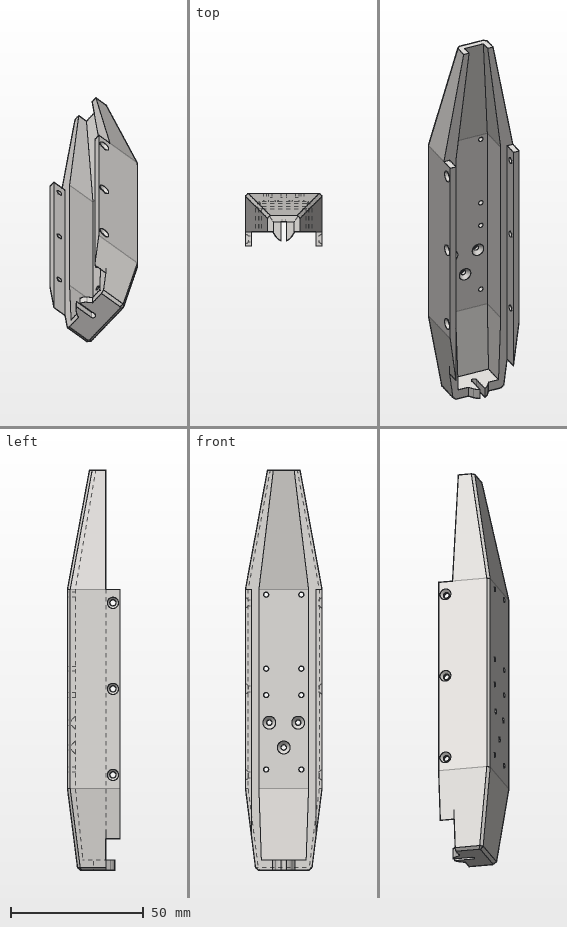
import cadquery as cq

length = 151.0
half_width = 14.5
depth = 20.0

lower_taper_z = 31.0
upper_taper_z = 106.0
front_y = 5.5
tip_half_width = 6.2
end_half_width = 10.5
side_taper_tip = half_width - tip_half_width
side_taper_end = half_width - end_half_width
edge_chamfer = 1.0

cavity_half_width = 9.4
cavity_tip_half_width = 4.0
cavity_end_half_width = 8.5
floor_y = 16.9
floor_thickness = depth - floor_y
floor_tip_y = 9.2
floor_end_y = 14.0
end_wall = 4.0

flange_thickness = 2.4
side_hole_y = 2.7
side_hole_pitch = 32.5
side_hole_diameter = 2.3
side_sink_diameter = 4.2
side_sink_depth = 1.2

pin_hole_diameter = 1.8
pin_hole_x = 6.6
pin_hole_heights = (38.0, 66.1, 76.1, 104.0)
screw_hole_diameter = 2.0
screw_sink_diameter = 4.8
screw_sink_depth = 1.5
screw_positions = ((-5.5, 55.7), (5.5, 55.7), (0, 46.4))

clip_half_width = 4.2
clip_shoulder_x = 3.0
clip_shoulder_y = 3.6
clip_nose_y = 2.0
slot_width = 2.0
slot_end_y = 10.1


def tapered_block(bottom_z, widths, backs):
    """Block tapering towards both ends from a straight middle, with its flat front at Y = 0.

    widths (half widths) and backs (back Y) each hold the bottom, middle and top value.
    """
    bottom_width, middle_width, top_width = widths
    bottom_back, middle_back, top_back = backs
    right_edge = [
        (bottom_width, bottom_z),
        (middle_width, lower_taper_z),
        (middle_width, upper_taper_z),
        (top_width, length),
    ]
    left_edge = [(-x, z) for x, z in reversed(right_edge)]
    outline = cq.Workplane("XZ").polyline(right_edge + left_edge).close().extrude(-depth)
    profile = (
        cq.Workplane("YZ")
        .polyline([
            (0, bottom_z),
            (bottom_back, bottom_z),
            (middle_back, lower_taper_z),
            (middle_back, upper_taper_z),
            (top_back, length),
            (0, length),
        ])
        .close()
        .extrude(half_width, both=True)
    )
    return outline.intersect(profile)


def is_back_corner(edge):
    """True for the long edges where the side faces meet the back."""
    return edge.BoundingBox().zlen > end_wall and edge.Center().y > front_y


def outer_body():
    body = tapered_block(
        0,
        (end_half_width, half_width, tip_half_width),
        (depth - side_taper_end, depth, depth - side_taper_tip),
    )
    back_corners = [edge for edge in body.edges().vals() if is_back_corner(edge)]
    body = body.newObject(back_corners).chamfer(edge_chamfer)
    return body.faces("<Z").edges("not(<Y)").chamfer(edge_chamfer)


def flange_relief():
    """Material in front of the rim that is removed to leave only the two side flanges."""
    inner_half_width = half_width - flange_thickness
    between = cq.Workplane("XY").box(
        2 * inner_half_width, front_y, length, centered=(True, False, False)
    )
    above = (
        cq.Workplane("XY", origin=(0, 0, upper_taper_z))
        .box(2 * half_width, front_y, length - upper_taper_z, centered=(True, False, False))
    )
    return between.union(above)


def cavity():
    return tapered_block(
        end_wall,
        (cavity_end_half_width, cavity_half_width, cavity_tip_half_width),
        (floor_end_y, floor_y, floor_tip_y),
    )


def clip():
    """Barbed nose in front of the end wall: sloped flanks that round off tangentially to the nose."""
    root_y = front_y + end_wall
    right_half = (
        cq.Workplane("XY")
        .moveTo(0, root_y)
        .lineTo(clip_half_width, root_y)
        .lineTo(clip_half_width, front_y)
        .lineTo(clip_shoulder_x, clip_shoulder_y)
        .tangentArcPoint((slot_width / 2, clip_nose_y), relative=False)
        .lineTo(0, clip_nose_y)
        .close()
        .extrude(end_wall)
    )
    return right_half.union(right_half.mirror("YZ"))


def clip_slot():
    """Round-ended slot that splits the clip and the end wall."""
    radius = slot_width / 2
    return (
        cq.Workplane("XY")
        .moveTo(-radius, 0)
        .lineTo(-radius, slot_end_y - radius)
        .threePointArc((0, slot_end_y), (radius, slot_end_y - radius))
        .lineTo(radius, 0)
        .close()
        .extrude(end_wall)
    )


def countersunk_hole(start, direction, diameter, sink_diameter, sink_depth, hole_length):
    hole = cq.Solid.makeCylinder(diameter / 2, hole_length, start, direction)
    sink = cq.Solid.makeCone(sink_diameter / 2, diameter / 2, sink_depth, start, direction)
    return cq.Workplane(hole.fuse(sink))


def drill_floor(body):
    into_floor = cq.Vector(0, 1, 0)
    for z in pin_hole_heights:
        for x in (-pin_hole_x, pin_hole_x):
            start = cq.Vector(x, floor_y, z)
            pin_hole = cq.Solid.makeCylinder(
                pin_hole_diameter / 2, floor_thickness, start, into_floor
            )
            body = body.cut(cq.Workplane(pin_hole))
    for x, z in screw_positions:
        body = body.cut(countersunk_hole(
            cq.Vector(x, floor_y, z), into_floor,
            screw_hole_diameter, screw_sink_diameter, screw_sink_depth, floor_thickness,
        ))
    return body


def drill_flanges(body):
    middle_z = (lower_taper_z + upper_taper_z) / 2
    for side in (-1, 1):
        for step in (-1, 0, 1):
            start = cq.Vector(side * half_width, side_hole_y, middle_z + step * side_hole_pitch)
            body = body.cut(countersunk_hole(
                start, cq.Vector(-side, 0, 0),
                side_hole_diameter, side_sink_diameter, side_sink_depth, flange_thickness,
            ))
    return body


shell = outer_body().cut(flange_relief()).cut(cavity())
shell = shell.union(clip()).cut(clip_slot())
result = drill_flanges(drill_floor(shell))